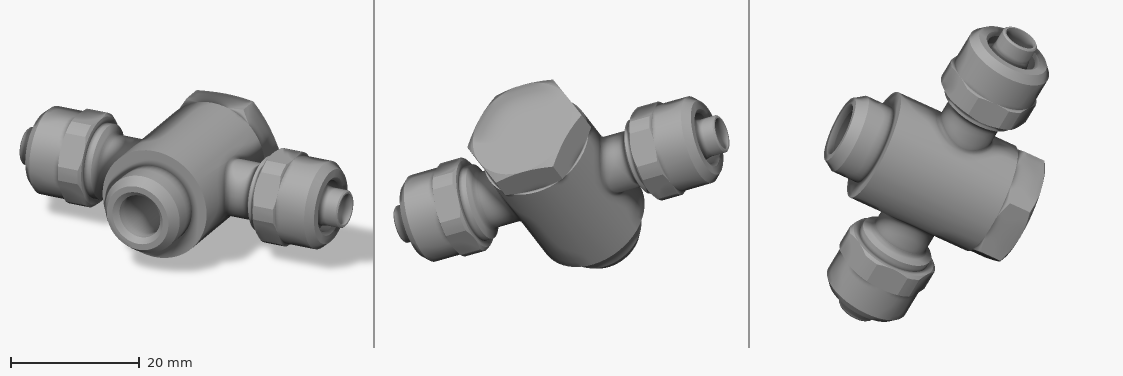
import cadquery as cq
import math


overall_length = 55.0
hexagon_sides = 6

hub_diameter = 18.0
hub_radius = hub_diameter / 2
hub_front_y = -11.2
hub_back_y = 9.3
head_height = 5.0
head_across_flats = 17.0
head_chamfer_angle = 30.0

spigot_length = 6.0
spigot_radius = 6.45
spigot_tip_radius = 5.35
spigot_chamfer_length = 1.7
bore_radius = 3.5
bore_mouth_radius = 4.35
bore_mouth_depth = bore_mouth_radius - bore_radius

stub_end_x = overall_length / 2
nut_end_x = 24.95
nut_chamfer_x = 23.75
hex_outer_x = 18.8
hex_inner_x = 14.8
flange_inner_x = 13.6
neck_end_x = 12.75

neck_radius = 4.5
hub_fillet = 0.5
flange_fillet = 0.65
flange_radius = 6.0
nut_radius = 7.0
nut_end_radius = 5.95
hex_across_flats = 2 * nut_radius
hex_corner_radius = 7.5
hex_outer_chamfer = 0.2
hex_inner_chamfer = 0.4

stub_diameter = 6.0
stub_radius = stub_diameter / 2
stub_chamfer = 0.2
stub_flare_x = 24.75
branch_bore_diameter = 5.0
cavity_radius = 4.1
cavity_mouth_radius = 4.6
cavity_mouth_depth = 0.5
cavity_floor_x = 23.0
cavity_floor_radius = 3.4

bore_floor_y = neck_radius


def revolve_about_x(points):
    """Solid of revolution from (x, radius) points."""
    return cq.Workplane("XY").polyline(points).close().revolve(360, (0, 0, 0), (1, 0, 0))


def revolve_about_y(points):
    """Solid of revolution from (radius, y) points."""
    return cq.Workplane("XY").polyline(points).close().revolve(360, (0, 0, 0), (0, 1, 0))


def hexagon_diameter(across_flats):
    """Diameter across the corners of a regular hexagon."""
    return across_flats / math.cos(math.pi / hexagon_sides)


def make_hub():
    return revolve_about_y([
        (0, hub_front_y),
        (hub_radius, hub_front_y),
        (hub_radius, hub_back_y),
        (0, hub_back_y),
    ])


def make_head():
    """Hexagon head with corners on +X and -X, cone-chamfered on both faces."""
    corner_diameter = hexagon_diameter(head_across_flats)
    corner_radius = corner_diameter / 2
    face_radius = head_across_flats / 2
    chamfer = (corner_radius - face_radius) * math.tan(math.radians(head_chamfer_angle))
    back_y = hub_back_y + head_height
    prism = (
        cq.Workplane("XZ", origin=(0, back_y, 0))
        .polygon(hexagon_sides, corner_diameter)
        .extrude(head_height)
    )
    envelope = revolve_about_y([
        (0, hub_back_y),
        (face_radius, hub_back_y),
        (corner_radius, hub_back_y + chamfer),
        (corner_radius, back_y - chamfer),
        (face_radius, back_y),
        (0, back_y),
    ])
    return prism.intersect(envelope)


def make_spigot():
    tip_y = hub_front_y - spigot_length
    return revolve_about_y([
        (0, hub_front_y),
        (spigot_radius, hub_front_y),
        (spigot_radius, tip_y + spigot_chamfer_length),
        (spigot_tip_radius, tip_y),
        (0, tip_y),
    ])


def make_bolt_bore():
    tip_y = hub_front_y - spigot_length
    return revolve_about_y([
        (0, tip_y),
        (bore_mouth_radius, tip_y),
        (bore_radius, tip_y + bore_mouth_depth),
        (bore_radius, bore_floor_y),
        (0, bore_floor_y),
    ])


def make_neck(direction):
    """Neck running from the hub axis towards +X (1) or -X (-1)."""
    return cq.Workplane("YZ").circle(neck_radius).extrude(direction * neck_end_x)


def make_nut_hexagon():
    """Hexagon with flats facing +Z and -Z, its corners turned round."""
    prism = (
        cq.Workplane("YZ", origin=(hex_inner_x, 0, 0))
        .polygon(hexagon_sides, hexagon_diameter(hex_across_flats))
        .extrude(hex_outer_x - hex_inner_x)
    )
    envelope = revolve_about_x([
        (hex_inner_x, 0),
        (hex_inner_x, nut_radius),
        (hex_inner_x + hex_inner_chamfer, hex_corner_radius),
        (hex_outer_x - hex_outer_chamfer, hex_corner_radius),
        (hex_outer_x, nut_radius),
        (hex_outer_x, 0),
    ])
    return prism.intersect(envelope)


def make_branch_end():
    """Flange, union nut and hose stub of the +X branch."""
    turned = revolve_about_x([
        (neck_end_x, 0),
        (neck_end_x, neck_radius),
        (flange_inner_x, flange_radius),
        (hex_outer_x, flange_radius),
        (hex_outer_x, nut_radius),
        (nut_chamfer_x, nut_radius),
        (nut_end_x, nut_end_radius),
        (nut_end_x, cavity_mouth_radius),
        (nut_end_x - cavity_mouth_depth, cavity_radius),
        (cavity_floor_x, cavity_radius),
        (cavity_floor_x, cavity_floor_radius),
        (stub_flare_x, stub_radius),
        (stub_end_x - stub_chamfer, stub_radius),
        (stub_end_x, stub_radius - stub_chamfer),
        (stub_end_x, 0),
    ])
    return turned.union(make_nut_hexagon())


hub = make_hub().union(make_neck(1)).union(make_neck(-1))
neck_joints = cq.selectors.BoxSelector(
    (-hub_radius, -neck_radius, -neck_radius),
    (hub_radius, neck_radius, neck_radius),
)
hub = hub.edges(neck_joints).fillet(hub_fillet)

branch_end = make_branch_end()
body = hub.union(make_head()).union(make_spigot())
body = body.union(branch_end).union(branch_end.mirror("YZ"))

for direction in (1, -1):
    neck_edge = cq.selectors.NearestToPointSelector((direction * neck_end_x, 0, 0))
    body = body.edges("%CIRCLE").edges(neck_edge).fillet(flange_fillet)

branch_bore = cq.Workplane("YZ").circle(branch_bore_diameter / 2).extrude(stub_end_x, both=True)
result = body.cut(make_bolt_bore()).cut(branch_bore)